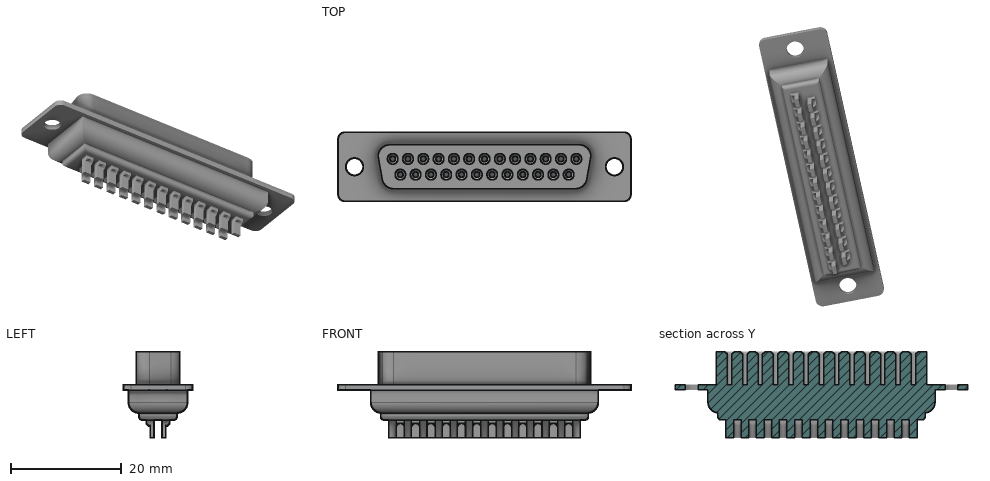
import cadquery as cq
import math


FLANGE_LENGTH = 53.04
FLANGE_WIDTH = 12.55
FLANGE_THICKNESS = 1.0
FLANGE_CORNER_RADIUS = 1.3
MOUNTING_HOLE_DIAMETER = 3.1
MOUNTING_HOLE_SPACING = 47.04

BODY_LENGTH = 38.45
BODY_WIDTH = 7.9
BODY_HEIGHT = 6.0
BODY_CORNER_RADIUS = 2.0
BODY_SIDE_ANGLE = 10.0

SHELL_LENGTH = 41.2
SHELL_WIDTH = 10.75
SHELL_DEPTH = 4.15
SHELL_EDGE_RADIUS = 2.0

INSULATOR_LENGTH = 37.6
INSULATOR_WIDTH = 6.9
INSULATOR_DEPTH = 1.25
INSULATOR_EDGE_RADIUS = 0.6

CONTACT_PITCH = 2.77
ROW_SPACING = 2.84
LONG_ROW_COUNT = 13
SHORT_ROW_COUNT = LONG_ROW_COUNT - 1

CONTACT_HOLE_DIAMETER = 1.0
COUNTERSINK_DIAMETER = 1.9
COUNTERSINK_ANGLE = 90.0
CONTACT_HOLE_DEPTH = BODY_HEIGHT

OVERALL_HEIGHT = 15.65
TERMINAL_WIDTH = 1.5
TERMINAL_ROOT_THICKNESS = 1.44
TERMINAL_TAB_THICKNESS = TERMINAL_ROOT_THICKNESS / 2
ARCH_RADIUS = 0.78
ARCH_CROWN_DEPTH = 0.6

shell_bottom = -FLANGE_THICKNESS - SHELL_DEPTH
insulator_bottom = shell_bottom - INSULATOR_DEPTH
terminal_bottom = BODY_HEIGHT - OVERALL_HEIGHT


def row_positions(count):
    """X positions of a row of contacts centred on the part."""
    return [(i - (count - 1) / 2) * CONTACT_PITCH for i in range(count)]


CONTACT_ROWS = [
    (1, row_positions(LONG_ROW_COUNT)),
    (-1, row_positions(SHORT_ROW_COUNT)),
]


def make_flange():
    return (
        cq.Workplane("XY")
        .rect(FLANGE_LENGTH, FLANGE_WIDTH)
        .extrude(-FLANGE_THICKNESS)
        .edges("|Z")
        .fillet(FLANGE_CORNER_RADIUS)
        .faces(">Z")
        .workplane()
        .rarray(MOUNTING_HOLE_SPACING, 1, 2, 1)
        .hole(MOUNTING_HOLE_DIAMETER)
    )


def make_body():
    """Mating body: a symmetric trapezoid, wide side at +Y, with rounded corners."""
    angle = math.radians(BODY_SIDE_ANGLE)
    half_width = BODY_WIDTH / 2
    corner_center_x = BODY_LENGTH / 2 - BODY_CORNER_RADIUS
    corner_overhang = BODY_CORNER_RADIUS * (1 + math.sin(angle)) / math.cos(angle)
    wide_half = corner_center_x + corner_overhang
    narrow_half = wide_half - BODY_WIDTH * math.tan(angle)
    return (
        cq.Workplane("XY")
        .polyline([
            (-wide_half, half_width),
            (wide_half, half_width),
            (narrow_half, -half_width),
            (-narrow_half, -half_width),
        ])
        .close()
        .extrude(BODY_HEIGHT)
        .edges("|Z")
        .fillet(BODY_CORNER_RADIUS)
    )


def make_rounded_block(length, width, depth, top_z, edge_radius):
    """Block hanging below top_z with its bottom edges rounded."""
    return (
        cq.Workplane("XY", origin=(0, 0, top_z))
        .rect(length, width)
        .extrude(-depth)
        .faces("<Z")
        .edges()
        .fillet(edge_radius)
    )


def cut_contact_holes(part):
    for outward, positions in CONTACT_ROWS:
        points = [(x, outward * ROW_SPACING / 2) for x in positions]
        part = (
            part.copyWorkplane(cq.Workplane("XY", origin=(0, 0, BODY_HEIGHT)))
            .pushPoints(points)
            .cskHole(CONTACT_HOLE_DIAMETER, COUNTERSINK_DIAMETER, COUNTERSINK_ANGLE, CONTACT_HOLE_DEPTH)
        )
    return part


def make_terminal():
    """Terminal of the +Y row at X = 0; its tab lies on the inner half of the root."""
    inner_y = (ROW_SPACING - TERMINAL_ROOT_THICKNESS) / 2
    outer_y = inner_y + TERMINAL_ROOT_THICKNESS
    tab_y = inner_y + TERMINAL_TAB_THICKNESS
    crown_z = insulator_bottom - ARCH_CROWN_DEPTH
    slope_end_z = crown_z - (outer_y - tab_y)

    blank = (
        cq.Workplane("YZ")
        .polyline([
            (inner_y, insulator_bottom),
            (outer_y, insulator_bottom),
            (outer_y, crown_z),
            (tab_y, slope_end_z),
            (tab_y, terminal_bottom),
            (inner_y, terminal_bottom),
        ])
        .close()
        .extrude(TERMINAL_WIDTH / 2, both=True)
    )
    relief = (
        cq.Workplane("XZ", origin=(0, tab_y, crown_z - ARCH_RADIUS))
        .circle(ARCH_RADIUS)
        .extrude(-TERMINAL_ROOT_THICKNESS)
    )
    return blank.cut(relief)


def add_terminals(part):
    terminal = make_terminal()
    for outward, positions in CONTACT_ROWS:
        row_terminal = terminal if outward > 0 else terminal.mirror("XZ")
        for x in positions:
            part = part.union(row_terminal.translate((x, 0, 0)))
    return part


shell = make_rounded_block(
    SHELL_LENGTH, SHELL_WIDTH, SHELL_DEPTH, -FLANGE_THICKNESS, SHELL_EDGE_RADIUS
)
insulator = make_rounded_block(
    INSULATOR_LENGTH, INSULATOR_WIDTH, INSULATOR_DEPTH, shell_bottom, INSULATOR_EDGE_RADIUS
)

result = make_flange().union(make_body()).union(shell).union(insulator)
result = cut_contact_holes(result)
result = add_terminals(result)